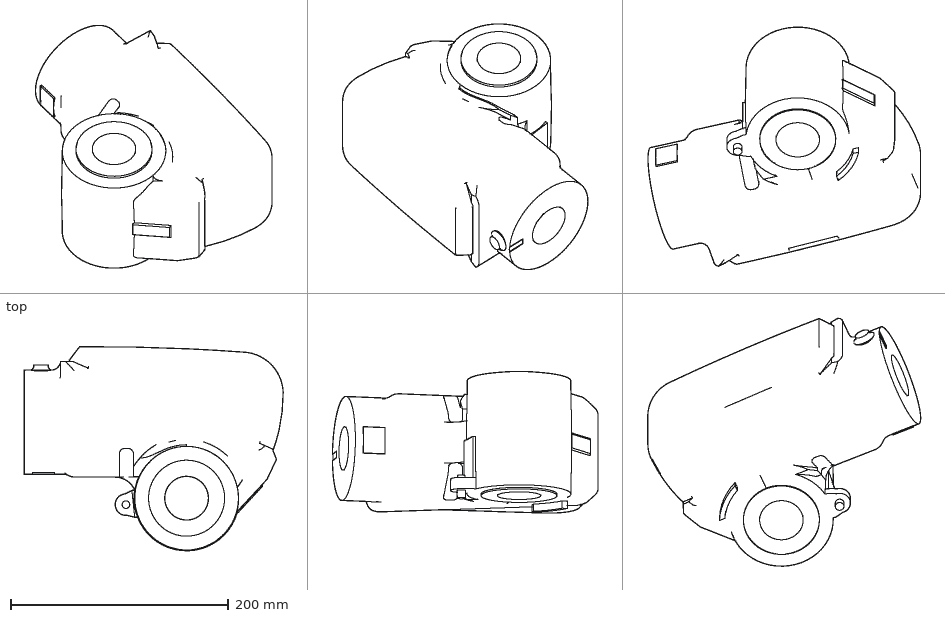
import cadquery as cq
import math


HUB_TOP = 57.0
HUB_BOTTOM = -49.0
HUB_RADIUS = 48.5
HUB_DRAFT = math.radians(0.8)
BORE_DIAMETER = 40.0
RIM_DIAMETER = 70.0
RIM_TOP = 59.5
RIM_BOTTOM = -50.5
HUB_BLEND = 7.5

SLEEVE_Y = 70.0
SLEEVE_DIAMETER = 96.0
SLEEVE_FACE = -149.45
SLEEVE_INNER_END = -95.0
SLEEVE_BORE_DEPTH = 25.0
SLEEVE_BLEND = 8.5
SLEEVE_PAD_LENGTH = 20.5
SLEEVE_PAD_START = 7.5
SLEEVE_PAD_HEIGHT = 24.6
SLEEVE_PAD_ROOT = 5.0
KEY_WIDTH = 6.0
KEY_DEPTH = 0.5
KEY_FLOOR_RADIUS = 31.5
NIPPLE_X = -134.0
NIPPLE_DIAMETER = 13.5
NIPPLE_HEIGHT = 4.8
NIPPLE_BLEND = 3.5

HALF_HEIGHT = 49.25
END_X = -116.0
FRONT_Y = 19.3
FRONT_CHAMFER = 23.75
FRONT_ROUND = 15.0
REAR_Y = 126.0
END_ROUND = 13.5
SIDE_CHAMFER = 11.0
SIDE_ROUND = 8.0
RIDGE_SLOPE = -0.438
RIDGE_AT_HUB = 79.95
RIDGE_ROUND = 5.0
RIDGE_END_X = 79.0
CORNER = (82.8, 35.7)
SHOULDER = (74.2, 17.5)
OBLIQUE_FOOT = (29.2, -31.0)
WEB_RADIUS = 20.0
WEB_CENTRE_X = -66.0

COVER_HALF_HEIGHT = 43.5
RIDGE_CHAMFER = HALF_HEIGHT - COVER_HALF_HEIGHT
COVER_CHAMFER = 12.0
COVER_ROUND = 5.0
STEP_ROUND = 5.0

POCKET_X = -55.4
POCKET_WIDTH = 13.0
POCKET_BACK_Y = 45.8
POCKET_FLOOR = 19.0
POCKET_ROUND = 5.0

LUG_ANGLE = 186.1
LUG_REACH = 56.1
LUG_RADIUS = 10.0
LUG_TOP = -38.4
LUG_ROOT = 40.0
PAD_DISTANCE = 49.3
PAD_HALF_WIDTH = 12.5
PIN_DIAMETER = 8.0
PIN_BOTTOM = -56.0
PIN_HEAD_DIAMETER = 7.0
PIN_HEAD_TOP = -35.0

STOP_INNER_RADIUS = 52.3
STOP_OUTER_RADIUS = 57.0
STOP_MIN_X = 24.0
STOP_MIN_Y = 24.9
STOP_BOTTOM = -56.0

SIDE_PAD_HEIGHT = 16.0
SIDE_PAD_PROUD = 1.3
SIDE_PAD_TAPER = 50.0
SIDE_PAD_X = (45.0, 70.1)

COLLAR_GROWTH = 3.0
COLLAR_FRONT_Y = 20.0
BIG = 400.0


def ridge_y(x):
    """Y of the oblique rear wall at a given X."""
    return RIDGE_AT_HUB + RIDGE_SLOPE * x


def block(x, y, z):
    """Box given by its (min, max) ranges."""
    size = [high - low for low, high in (x, y, z)]
    return cq.Workplane("XY", origin=(x[0], y[0], z[0])).box(*size, centered=False)


def cylinder(radius, bottom, top, x=0.0, y=0.0):
    return cq.Workplane("XY", origin=(x, y, bottom)).circle(radius).extrude(top - bottom)


def prism(points, bottom, top):
    return cq.Workplane("XY", origin=(0, 0, bottom)).polyline(points).close().extrude(top - bottom)


class NearRadius(cq.Selector):
    """Curved edges whose ends lie on the sleeve surface, clear of the sleeve face."""

    def filter(self, edges):
        return [e for e in edges if e.geomType() != "LINE" and self.on_sleeve(e)]

    @staticmethod
    def on_sleeve(edge):
        ends = [math.hypot(v.Y - SLEEVE_Y, v.Z) for v in edge.Vertices()]
        clear = edge.Center().x > SLEEVE_FACE + 1
        return clear and all(abs(r - SLEEVE_DIAMETER / 2) < 0.1 for r in ends)


class AlongRidge(cq.Selector):
    """Long edges parallel to the ridge at a given height, within a distance of the rear wall."""

    def __init__(self, height, reach):
        self.height = height
        self.reach = reach

    def filter(self, edges):
        return [e for e in edges if e.Length() > 100 and self.fits(e.Center())]

    def fits(self, centre):
        at_height = abs(abs(centre.z) - self.height) < 0.1
        return at_height and abs(centre.y - ridge_y(centre.x)) < self.reach


def ridge_envelope():
    """Everything in front of the oblique rear wall, with the wall's edges chamfered and rounded."""
    length = math.hypot(1, RIDGE_SLOPE)
    outward = (-RIDGE_SLOPE / length, 1 / length, 0)
    along = (outward[1], -outward[0], 0)
    plane = cq.Plane(origin=(0, RIDGE_AT_HUB, 0), xDir=outward, normal=along)
    shoulder = HALF_HEIGHT - RIDGE_CHAMFER
    points = [(-BIG, -HALF_HEIGHT), (-RIDGE_CHAMFER, -HALF_HEIGHT), (0, -shoulder),
              (0, shoulder), (-RIDGE_CHAMFER, HALF_HEIGHT), (-BIG, HALF_HEIGHT)]
    envelope = cq.Workplane(plane).polyline(points).close().extrude(BIG, both=True)
    return envelope.edges(AlongRidge(HALF_HEIGHT, 2 * RIDGE_CHAMFER)).fillet(RIDGE_ROUND)


def front_profile(growth=0.0):
    """Housing section along X, with chamfered and rounded front corners."""
    half = HALF_HEIGHT + growth
    front = FRONT_Y - growth
    points = [(REAR_Y, -half), (front + FRONT_CHAMFER, -half), (front, FRONT_CHAMFER - half),
              (front, half - FRONT_CHAMFER), (front + FRONT_CHAMFER, half), (REAR_Y, half)]
    solid = cq.Workplane("YZ", origin=(END_X, 0, 0)).polyline(points).close().extrude(-END_X)
    return solid.edges("|X and (not >Y)").fillet(FRONT_ROUND)


def sleeve_half():
    """Housing on the sleeve side, with the sleeve blended into its rounded end."""
    half = front_profile().faces("<X").edges("not >Y").fillet(END_ROUND).intersect(ridge_envelope())
    sleeve = (
        cq.Workplane("YZ", origin=(SLEEVE_FACE, SLEEVE_Y, 0))
        .circle(SLEEVE_DIAMETER / 2)
        .extrude(SLEEVE_INNER_END - SLEEVE_FACE)
    )
    return half.union(sleeve).edges(NearRadius()).fillet(SLEEVE_BLEND)


def side_half():
    """Housing beside the hub, ending in the oblique side and the right corner."""
    ridge_end = (RIDGE_END_X, ridge_y(RIDGE_END_X))
    plan = [(0, 0), OBLIQUE_FOOT, SHOULDER, CORNER, ridge_end, (0, ridge_y(0))]
    half = prism(plan, -HALF_HEIGHT, HALF_HEIGHT)
    outer = cq.selectors.BoxSelector((OBLIQUE_FOOT[0], -BIG, -BIG), (BIG, ridge_end[1] - 1, BIG))
    half = half.faces("|Z").edges(outer).chamfer(SIDE_CHAMFER)
    half = half.edges(outer).edges("not |Z").fillet(SIDE_ROUND)
    return half.intersect(ridge_envelope())


def cover():
    """Rear cover, lower than the housing, with chamfered and rounded rims."""
    outline = (
        cq.Workplane("XY", origin=(0, 0, -COVER_HALF_HEIGHT))
        .moveTo(-108, 127)
        .lineTo(-98.5, 139.5)
        .threePointArc((-25, 138.6), (51.3, 134.6))
        .threePointArc((77.5, 123.5), (89.0, 97.1))
        .threePointArc((87, 72), (79.9, 44.5))
        .lineTo(60, 30)
        .lineTo(-90, 90)
        .close()
    )
    solid = outline.extrude(2 * COVER_HALF_HEIGHT)
    solid = solid.faces("|Z").edges().chamfer(COVER_CHAMFER)
    return solid.edges("not |Z").fillet(COVER_ROUND)


def hub():
    upper = HUB_RADIUS - HUB_TOP * math.tan(HUB_DRAFT)
    lower = HUB_RADIUS + HUB_BOTTOM * math.tan(HUB_DRAFT)
    rim = RIM_DIAMETER / 2
    points = [(0, RIM_BOTTOM), (rim, RIM_BOTTOM), (rim, HUB_BOTTOM), (lower, HUB_BOTTOM),
              (HUB_RADIUS, 0), (upper, HUB_TOP), (rim, HUB_TOP), (rim, RIM_TOP), (0, RIM_TOP)]
    return cq.Workplane("XZ").polyline(points).close().revolve(360, (0, 0, 0), (0, 1, 0))


def hub_flare():
    """Concave flare from the housing up to the hub wall, behind the hub."""
    inner = HUB_RADIUS - HUB_TOP * math.tan(HUB_DRAFT)
    outer = inner + HUB_BLEND + 1.5
    sag = HUB_BLEND * (1 - math.sqrt(0.5))
    flare = (
        cq.Workplane("XZ")
        .moveTo(0, HUB_BOTTOM)
        .lineTo(outer, HUB_BOTTOM)
        .lineTo(outer, HALF_HEIGHT)
        .threePointArc((inner + sag, HALF_HEIGHT + sag), (inner, HUB_TOP))
        .lineTo(0, HUB_TOP)
        .close()
        .revolve(360, (0, 0, 0), (0, 1, 0))
    )
    left = flare.intersect(front_profile(COLLAR_GROWTH)).intersect(
        block((-BIG, 0), (COLLAR_FRONT_Y, BIG), (-BIG, BIG)))
    right = flare.intersect(prism([(0, 0), (40, 0), (51.5, 17), (70, 40), (0, 70)], HALF_HEIGHT, HUB_TOP))
    return left.union(right)


def web():
    """Concave web that runs from the front wall into the hub."""
    centre_y = FRONT_Y - WEB_RADIUS
    plan = block((WEB_CENTRE_X, -30), (centre_y, FRONT_Y + 1), (-POCKET_FLOOR, POCKET_FLOOR))
    return plan.cut(cylinder(WEB_RADIUS, -30, 30, WEB_CENTRE_X, centre_y))


def pocket(upward):
    """Open pocket sunk beside the hub from the top (upward = 1) or from the bottom (-1)."""
    half = POCKET_WIDTH / 2
    tool = block((POCKET_X - half, POCKET_X + half), (-20, POCKET_BACK_Y), (POCKET_FLOOR, HUB_TOP))
    tool = tool.edges("|Z and >Y").fillet(POCKET_ROUND).faces("<Z").edges("not <Y").fillet(POCKET_ROUND - 1)
    return tool if upward > 0 else tool.mirror("XY")


def lug():
    """Locating lug with its pin and the flat pad behind it."""
    plan = (
        cq.Workplane("XY", origin=(0, 0, HUB_BOTTOM))
        .moveTo(LUG_ROOT, -PAD_HALF_WIDTH - 1)
        .lineTo(PAD_DISTANCE, -PAD_HALF_WIDTH)
        .lineTo(LUG_REACH, -LUG_RADIUS)
        .threePointArc((LUG_REACH + LUG_RADIUS, 0), (LUG_REACH, LUG_RADIUS))
        .lineTo(PAD_DISTANCE, PAD_HALF_WIDTH)
        .lineTo(LUG_ROOT, PAD_HALF_WIDTH + 1)
        .close()
    )
    solid = plan.extrude(LUG_TOP - HUB_BOTTOM)
    pad_width = (-PAD_HALF_WIDTH, PAD_HALF_WIDTH)
    solid = solid.union(block((LUG_ROOT, PAD_DISTANCE), pad_width, (HUB_BOTTOM, 0)))
    solid = solid.union(cylinder(PIN_DIAMETER / 2, PIN_BOTTOM, LUG_TOP, LUG_REACH))
    solid = solid.union(cylinder(PIN_HEAD_DIAMETER / 2, LUG_TOP, PIN_HEAD_TOP, LUG_REACH))
    return solid.rotate((0, 0, 0), (0, 0, 1), LUG_ANGLE)


def stop():
    """Arc-shaped stop under the housing, concentric with the hub."""
    ring = cylinder(STOP_OUTER_RADIUS, STOP_BOTTOM, -HALF_HEIGHT + 1)
    ring = ring.cut(cylinder(STOP_INNER_RADIUS, STOP_BOTTOM, 0))
    return ring.intersect(block((STOP_MIN_X, BIG), (STOP_MIN_Y, BIG), (-BIG, BIG)))


def side_pad():
    """Raised rectangular pad on the oblique side."""
    run = SHOULDER[0] - OBLIQUE_FOOT[0]
    rise = SHOULDER[1] - OBLIQUE_FOOT[1]
    length = math.hypot(run, rise)
    middle_x = sum(SIDE_PAD_X) / 2
    middle_y = OBLIQUE_FOOT[1] + (middle_x - OBLIQUE_FOOT[0]) * rise / run
    pad_length = (SIDE_PAD_X[1] - SIDE_PAD_X[0]) * length / run
    wall = cq.Plane(origin=(middle_x, middle_y, 0), xDir=(run, rise, 0), normal=(rise, -run, 0))
    return cq.Workplane(wall).rect(pad_length, SIDE_PAD_HEIGHT).extrude(SIDE_PAD_PROUD, taper=SIDE_PAD_TAPER)


def nipple():
    """Round boss on the rear of the sleeve, with a flared foot."""
    sleeve_radius = SLEEVE_DIAMETER / 2
    radius = NIPPLE_DIAMETER / 2
    foot = sleeve_radius - 1.5
    points = [(0, foot), (radius + NIPPLE_BLEND, foot), (radius + NIPPLE_BLEND, sleeve_radius)]
    sag = NIPPLE_BLEND * (1 - math.sqrt(0.5))
    return (
        cq.Workplane("XY", origin=(NIPPLE_X, SLEEVE_Y, 0))
        .polyline(points)
        .threePointArc((radius + sag, sleeve_radius + sag), (radius, sleeve_radius + NIPPLE_BLEND))
        .lineTo(radius, sleeve_radius + NIPPLE_HEIGHT)
        .lineTo(0, sleeve_radius + NIPPLE_HEIGHT)
        .close()
        .revolve(360, (0, 0, 0), (0, 1, 0))
    )


def sleeve_bore():
    bore = cq.Workplane("YZ", origin=(SLEEVE_FACE, SLEEVE_Y, 0)).circle(BORE_DIAMETER / 2)
    return bore.extrude(SLEEVE_BORE_DEPTH)


def sleeve_key():
    """Shallow radial slot in the sleeve face."""
    start = SLEEVE_Y + KEY_FLOOR_RADIUS
    end = SLEEVE_Y + SLEEVE_DIAMETER / 2 + 1
    half = KEY_WIDTH / 2
    return block((SLEEVE_FACE, SLEEVE_FACE + KEY_DEPTH), (start, end), (-half, half))


def sleeve_pad():
    """Raised rectangular pad whose face is tangent to the front of the sleeve."""
    half = SLEEVE_PAD_HEIGHT / 2
    start = SLEEVE_FACE + SLEEVE_PAD_START
    front = SLEEVE_Y - SLEEVE_DIAMETER / 2
    return block((start, start + SLEEVE_PAD_LENGTH), (front, front + SLEEVE_PAD_ROOT), (-half, half))


housing = sleeve_half().union(side_half())
housing = housing.union(cover()).edges(AlongRidge(COVER_HALF_HEIGHT, 5)).fillet(STEP_ROUND)
housing = housing.union(web()).union(hub_flare())
for side in (1, -1):
    housing = housing.cut(pocket(side))

result = housing.union(hub()).union(side_pad()).union(lug()).union(stop()).union(nipple()).union(sleeve_pad())
result = result.cut(cylinder(BORE_DIAMETER / 2, RIM_BOTTOM, RIM_TOP))
result = result.cut(sleeve_bore()).cut(sleeve_key())